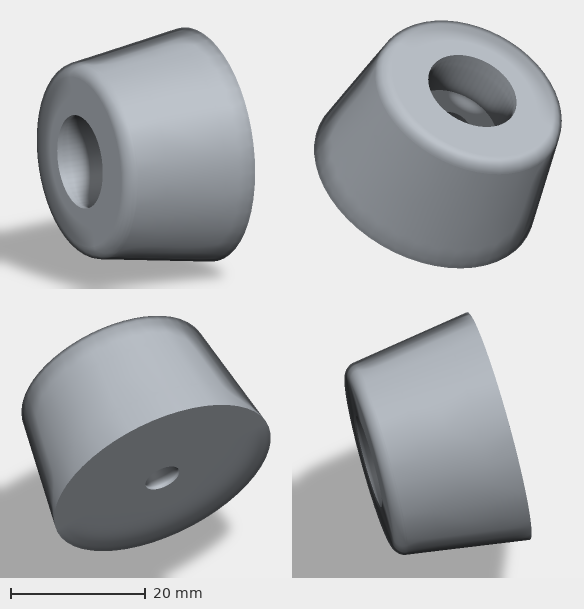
import cadquery as cq

wide_diameter = 35.0
narrow_diameter = 29.0
height = 20.0
rim_fillet = 2.0

counterbore_diameter = 14.0
counterbore_depth = 8.0
hole_diameter = 5.5


def tapered_body():
    """Cone frustum with its narrow face at -Y and a rounded narrow rim."""
    half_height = height / 2
    profile = [
        (0, -half_height),
        (narrow_diameter / 2, -half_height),
        (wide_diameter / 2, half_height),
        (0, half_height),
    ]
    body = cq.Workplane("XY").polyline(profile).close().revolve(360, (0, 0), (0, 1))
    return body.faces("<Y").edges().fillet(rim_fillet)


def add_stepped_bore(body):
    """Cut the screw hole through and the counterbore from the narrow face."""
    return (
        body.faces("<Y")
        .workplane(centerOption="CenterOfMass")
        .cboreHole(hole_diameter, counterbore_diameter, counterbore_depth)
    )


result = add_stepped_bore(tapered_body())